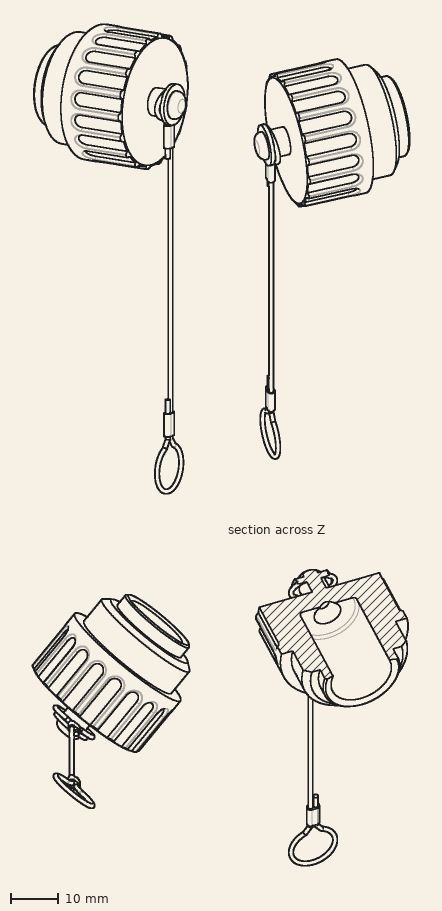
import cadquery as cq
import math

nose_radius = 17.4 / 2
nose_edge_chamfer = 0.4
shoulder_x = 3.1
shoulder_radius = 21 / 2
collar_radius = 24 / 2
collar_cone_end_x = 4.3
grip_start_x = 10.3
grip_end_x = 24.8
grip_radius = 29 / 2
grip_end_chamfer_length = 0.4
grip_end_chamfer_height = 0.9

bore_radius = 13.7 / 2
mouth_flare_depth = 0.5
bore_depth = 20.0
bore_floor_fillet = 0.6
recess_radius = 6 / 2
recess_tip_radius = 3 / 2
recess_depth = 3.0

flute_count = 18
flute_floor_radius = 13.9
flute_mouth_width = 4.3
flute_floor_width = 3.0
flute_arc_center_x = 14.8
flute_rim_fillet = 0.24

stem_radius = 6 / 2
stem_end_x = 31.3
stem_end_fillet = 1.5
washer_radius = 8.8 / 2
washer_start_x = 28.7
washer_thickness = 0.9

overall_height = 100
cable_x = 28.3
wire_radius = 0.5
strand_offset = 0.6
sleeve_length = 5.0
sleeve_radius = 0.8
neck_length = 0.8
eye_half_width = 5.0
eye_opening_half_width = 1.9

upper_eye_center_z = 0.0
upper_eye_half_height = 2.9
upper_sleeve_top_z = -4.5
upper_neck_z = upper_sleeve_top_z + neck_length
upper_tail_end_z = -11.8
lower_eye_center_z = grip_radius - overall_height + wire_radius + eye_half_width
lower_eye_half_height = eye_half_width
lower_sleeve_bottom_z = -72.8
lower_neck_z = lower_sleeve_bottom_z - neck_length
lower_tail_end_z = -64.8

cut_margin = 1.0
tolerance = 0.01


def revolve_about_x(profile):
    return profile.close().revolve(360, (0, 0, 0), (1, 0, 0))


def make_nose_and_collar():
    outline = [
        (0, 0),
        (0, nose_radius - nose_edge_chamfer),
        (nose_edge_chamfer, nose_radius),
        (shoulder_x, nose_radius),
        (shoulder_x, shoulder_radius),
        (collar_cone_end_x, collar_radius),
        (grip_start_x, collar_radius),
        (grip_start_x, 0),
    ]
    return revolve_about_x(cq.Workplane("XY").polyline(outline))


def make_flute_cutter():
    """Tapered slot at the top of the grip, bottoming on a cylinder about the X axis."""
    flute_depth = grip_radius - flute_floor_radius
    wall_slope = (flute_mouth_width - flute_floor_width) / 2 / flute_depth
    top_half_width = flute_mouth_width / 2 + cut_margin * wall_slope
    open_end_x = grip_end_x + top_half_width
    slot = (
        cq.Workplane("XY", origin=(0, 0, grip_radius + cut_margin))
        .moveTo(open_end_x, -top_half_width)
        .lineTo(flute_arc_center_x, -top_half_width)
        .threePointArc((flute_arc_center_x - top_half_width, 0), (flute_arc_center_x, top_half_width))
        .lineTo(open_end_x, top_half_width)
        .close()
        .extrude(-(cut_margin + 1.2 * flute_depth), taper=math.degrees(math.atan(wall_slope)))
    )
    core = cq.Workplane("YZ").circle(flute_floor_radius).extrude(open_end_x)
    return slot.cut(core)


def is_flute_rim(edge):
    """True for the edges where a flute wall meets the outside of the grip."""
    middle = edge.positionAt(0.5)
    on_outside = abs(math.hypot(middle.y, middle.z) - grip_radius) < tolerance
    off_front_face = edge.BoundingBox().xmin > grip_start_x + cut_margin
    off_rear_face = middle.x < grip_end_x - tolerance
    return on_outside and off_front_face and off_rear_face


def make_grip():
    grip = cq.Workplane("YZ", origin=(grip_start_x, 0, 0)).circle(grip_radius)
    grip = grip.extrude(grip_end_x - grip_start_x)
    cutter = make_flute_cutter()
    for i in range(flute_count):
        grip = grip.cut(cutter.rotate((0, 0, 0), (1, 0, 0), i * 360 / flute_count))
    rims = [edge for edge in grip.edges().vals() if is_flute_rim(edge)]
    grip = grip.newObject(rims).fillet(flute_rim_fillet)

    envelope = [
        (grip_start_x, 0),
        (grip_start_x, grip_radius),
        (grip_end_x - grip_end_chamfer_length, grip_radius),
        (grip_end_x, grip_radius - grip_end_chamfer_height),
        (grip_end_x, 0),
    ]
    return grip.intersect(revolve_about_x(cq.Workplane("XY").polyline(envelope)))


def make_bore():
    fillet_inset = bore_floor_fillet * (1 - math.sqrt(0.5))
    profile = (
        cq.Workplane("XY")
        .lineTo(0, nose_radius - nose_edge_chamfer)
        .lineTo(mouth_flare_depth, bore_radius)
        .lineTo(bore_depth - bore_floor_fillet, bore_radius)
        .threePointArc(
            (bore_depth - fillet_inset, bore_radius - fillet_inset),
            (bore_depth, bore_radius - bore_floor_fillet),
        )
        .lineTo(bore_depth, recess_radius)
        .lineTo(bore_depth + recess_depth, recess_tip_radius)
        .lineTo(bore_depth + recess_depth, 0)
    )
    return revolve_about_x(profile)


def make_stem():
    root_x = bore_depth + recess_depth
    stem = cq.Workplane("YZ", origin=(root_x, 0, 0)).circle(stem_radius).extrude(stem_end_x - root_x)
    stem = stem.faces(">X").edges().fillet(stem_end_fillet)
    washer = cq.Workplane("YZ", origin=(washer_start_x, 0, 0)).circle(washer_radius)
    return stem.union(washer.extrude(washer_thickness))


def make_strand(y, bottom_z, top_z):
    return cq.Workplane("XY", origin=(cable_x, y, bottom_z)).circle(wire_radius).extrude(top_z - bottom_z)


def make_sleeve(bottom_z):
    width = 2 * (strand_offset + sleeve_radius)
    sleeve = cq.Workplane("XY", origin=(cable_x, 0, bottom_z))
    return sleeve.slot2D(width, 2 * sleeve_radius, 90).extrude(sleeve_length)


def make_eye(neck_z, center_z, half_height):
    """Elliptical wire loop, open towards neck_z, where its two legs meet the strands."""
    side = math.copysign(1, neck_z - center_z)
    half_opening = math.asin(eye_opening_half_width / eye_half_width)
    shoulder_z = center_z + side * half_height * math.cos(half_opening)

    arc = cq.Workplane("YZ", origin=(cable_x, 0, center_z)).ellipseArc(
        eye_half_width,
        half_height,
        side * 90 + math.degrees(half_opening),
        side * 90 + 360 - math.degrees(half_opening),
        startAtCurrent=False,
    )
    edge = arc.val()
    path = cq.Workplane(obj=cq.Wire.assembleEdges([edge]))
    section = cq.Workplane(cq.Plane(edge.startPoint(), normal=edge.tangentAt(0)))
    eye = section.circle(wire_radius).sweep(path)

    for sign in (1, -1):
        neck = cq.Vector(cable_x, sign * strand_offset, neck_z)
        shoulder = cq.Vector(cable_x, sign * eye_opening_half_width, shoulder_z)
        leg = shoulder - neck
        eye = eye.union(cq.Workplane(cq.Solid.makeCylinder(wire_radius, leg.Length, neck, leg)))
        for bend in (neck, shoulder):
            eye = eye.union(cq.Workplane("XY").sphere(wire_radius).translate(bend))
    return eye


result = make_nose_and_collar().union(make_grip()).union(make_stem()).cut(make_bore())
lanyard_pieces = (
    make_strand(strand_offset, lower_neck_z, upper_neck_z),
    make_strand(-strand_offset, upper_tail_end_z, upper_neck_z),
    make_strand(-strand_offset, lower_neck_z, lower_tail_end_z),
    make_sleeve(upper_sleeve_top_z - sleeve_length),
    make_sleeve(lower_sleeve_bottom_z),
    make_eye(upper_neck_z, upper_eye_center_z, upper_eye_half_height),
    make_eye(lower_neck_z, lower_eye_center_z, lower_eye_half_height),
)
for piece in lanyard_pieces:
    result = result.union(piece)